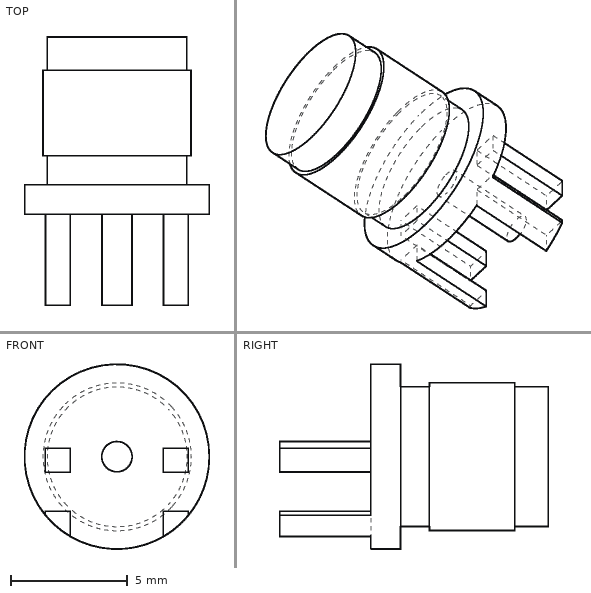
import cadquery as cq

flange_diameter = 7.93
flange_thickness = 1.28
barrel_diameter = 6.0
band_diameter = 6.35
neck_length = 1.23
band_length = 3.67
overall_length = 11.51

pin_diameter = 1.3
pin_length = 3.9
leg_spacing = 5.06
leg_width = 1.07
upper_leg_top = 0.36
upper_leg_height = 1.02
lower_leg_top = -2.33

flange_radius = flange_diameter / 2
body_length = overall_length - pin_length
band_start = flange_thickness + neck_length


def cylinder(diameter, start_y, length):
    """Solid cylinder on the Y axis, running toward +Y from start_y."""
    return cq.Workplane("XZ", origin=(0, start_y, 0)).circle(diameter / 2).extrude(-length)


def leg(center_x, top_z, height):
    """Rectangular leg with its top face at top_z, ending flush with the pin."""
    return cq.Workplane("XY").box(leg_width, pin_length, height).translate(
        (center_x, -pin_length / 2, top_z - height / 2)
    )


def make_body():
    """Flange and barrel with a raised band around the barrel."""
    flange = cylinder(flange_diameter, 0, flange_thickness)
    barrel = cylinder(barrel_diameter, 0, body_length)
    band = cylinder(band_diameter, band_start, band_length)
    return flange.union(barrel).union(band)


def make_leg_pair(center_x):
    """One rectangular upper leg and one lower leg trimmed to the flange rim."""
    upper_leg = leg(center_x, upper_leg_top, upper_leg_height)
    lower_leg_height = flange_radius + lower_leg_top
    rim_envelope = cylinder(flange_diameter, -pin_length, pin_length)
    lower_leg = leg(center_x, lower_leg_top, lower_leg_height).intersect(rim_envelope)
    return upper_leg, lower_leg


pin = cylinder(pin_diameter, -pin_length, pin_length)
result = make_body().union(pin)
for leg_center_x in (-leg_spacing / 2, leg_spacing / 2):
    for leg_solid in make_leg_pair(leg_center_x):
        result = result.union(leg_solid)